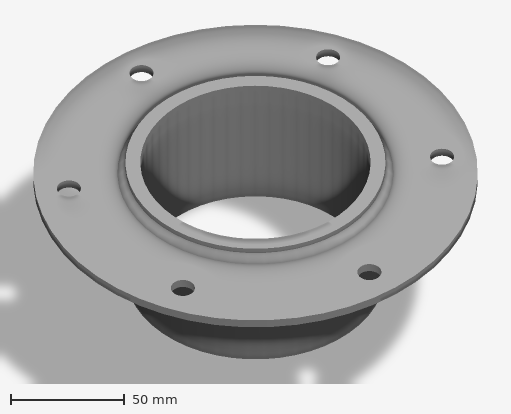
import cadquery as cq

flange_diameter = 195.0
flange_thickness = 4.0

tube_length = 65.0
tube_outer_diameter = 114.0
tube_bore_diameter = 101.0
tube_rise = 6.0

bead_leg = 3.5

hole_count = 6
hole_diameter = 10.5
bolt_circle_diameter = 165.0
first_hole_angle = 90

flange_top = tube_length - tube_rise
flange_bottom = flange_top - flange_thickness


def cylinder(diameter, bottom, height):
    return cq.Workplane("XY").workplane(offset=bottom).circle(diameter / 2).extrude(height)


def weld_bead():
    """Solid cone frustum, widest on the flange and tapering to the tube wall."""
    tube_radius = tube_outer_diameter / 2
    profile = [
        (0, flange_top),
        (tube_radius + bead_leg, flange_top),
        (tube_radius, flange_top + bead_leg),
        (0, flange_top + bead_leg),
    ]
    return cq.Workplane("XZ").polyline(profile).close().revolve(360, (0, 0, 0), (0, 1, 0))


def bolt_holes():
    return (
        cq.Workplane("XY")
        .workplane(offset=flange_bottom)
        .polarArray(bolt_circle_diameter / 2, first_hole_angle, 360, hole_count)
        .circle(hole_diameter / 2)
        .extrude(flange_thickness)
    )


flange = cylinder(flange_diameter, flange_bottom, flange_thickness).cut(bolt_holes())
tube = cylinder(tube_outer_diameter, 0, tube_length)
bore = cylinder(tube_bore_diameter, 0, tube_length)

result = flange.union(tube).union(weld_bead()).cut(bore)